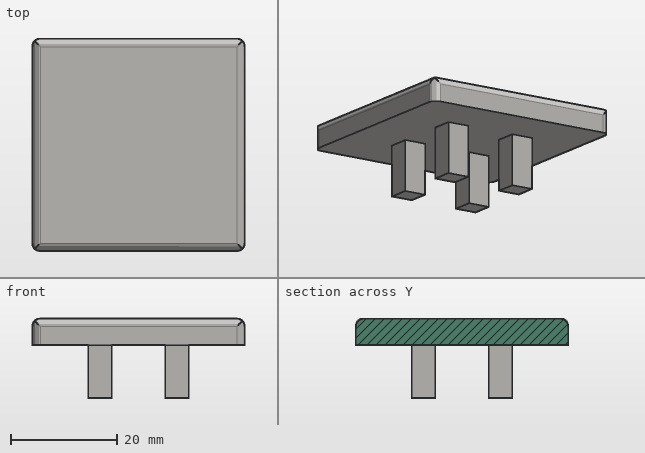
import cadquery as cq

plate_side = 40.0
plate_thickness = 5.0
edge_radius = 1.5

leg_side = 4.5
leg_length = 10.0
leg_gap = 10.0
leg_pitch = leg_gap + leg_side


def rounded_slab(edge_selector):
    """Plain plate with its underside at Z = 0 and only the selected edges rounded."""
    slab = cq.Workplane("XY").box(plate_side, plate_side, plate_thickness, centered=(True, True, False))
    return slab.edges(edge_selector).fillet(edge_radius)


def make_plate():
    """Plate rounded on its vertical and top edges.

    Intersecting one slab per edge direction makes the rounds meet in mitred corners instead of spheres.
    """
    upright_rounds = rounded_slab("|Z")
    top_rounds_along_x = rounded_slab("|X and >Z")
    top_rounds_along_y = rounded_slab("|Y and >Z")
    return upright_rounds.intersect(top_rounds_along_x).intersect(top_rounds_along_y)


def make_legs():
    """Two by two grid of square legs hanging from the underside of the plate."""
    legs = cq.Workplane("XY").rarray(leg_pitch, leg_pitch, 2, 2)
    return legs.rect(leg_side, leg_side).extrude(-leg_length)


result = make_plate().union(make_legs())